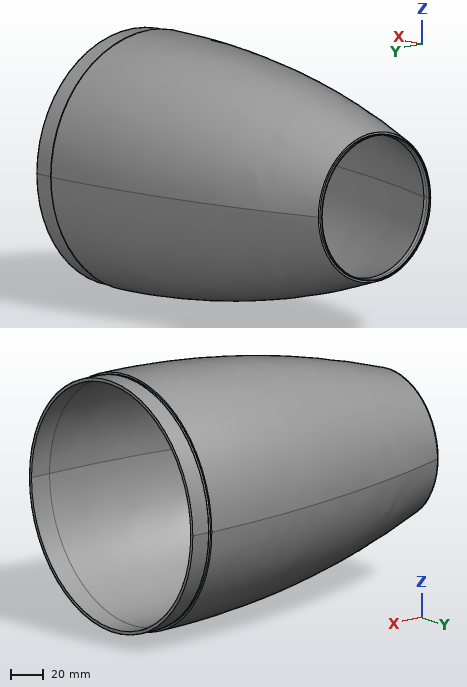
import cadquery as cq

length = 218.5
wall = 3.0
lip_length = 1.5
lip_step = 1.3
narrow_radius = 46.3
middle_radius = 72.1
wide_radius = 80.55
collar_length = 14.0
collar_radius = 79.5
relief_length = 1.5
relief_depth = 0.2
mouth_radius = 44.5
mouth_length = 3.3
throat_radius = 44.2
throat_taper_length = 2.0

half_length = length / 2
narrow_end = -half_length
wide_end = half_length
curve_start = narrow_end + lip_length
curve_end = wide_end - collar_length
curve_middle = (curve_start + curve_end) / 2
collar_start = curve_end + relief_length
mouth_end = narrow_end + mouth_length
throat = mouth_end + throat_taper_length

lip_radius = narrow_radius - lip_step
relief_radius = collar_radius - relief_depth
bore_middle = middle_radius - wall
bore_wide = wide_radius - wall


def wall_profile():
    """Half section of the wall, with the axial position first and the radius second."""
    return (
        cq.Workplane("XY")
        .moveTo(narrow_end, mouth_radius)
        .lineTo(narrow_end, lip_radius)
        .lineTo(curve_start, lip_radius)
        .lineTo(curve_start, narrow_radius)
        .threePointArc((curve_middle, middle_radius), (curve_end, wide_radius))
        .lineTo(curve_end, relief_radius)
        .lineTo(collar_start, relief_radius)
        .lineTo(collar_start, collar_radius)
        .lineTo(wide_end, collar_radius)
        .lineTo(wide_end, bore_wide)
        .lineTo(curve_end, bore_wide)
        .threePointArc((curve_middle, bore_middle), (throat, throat_radius))
        .lineTo(mouth_end, mouth_radius)
        .close()
    )


upper_half = wall_profile().revolve(180, (0, 0, 0), (1, 0, 0))
lower_half = upper_half.mirror("XY")
result = upper_half.union(lower_half, clean=False)